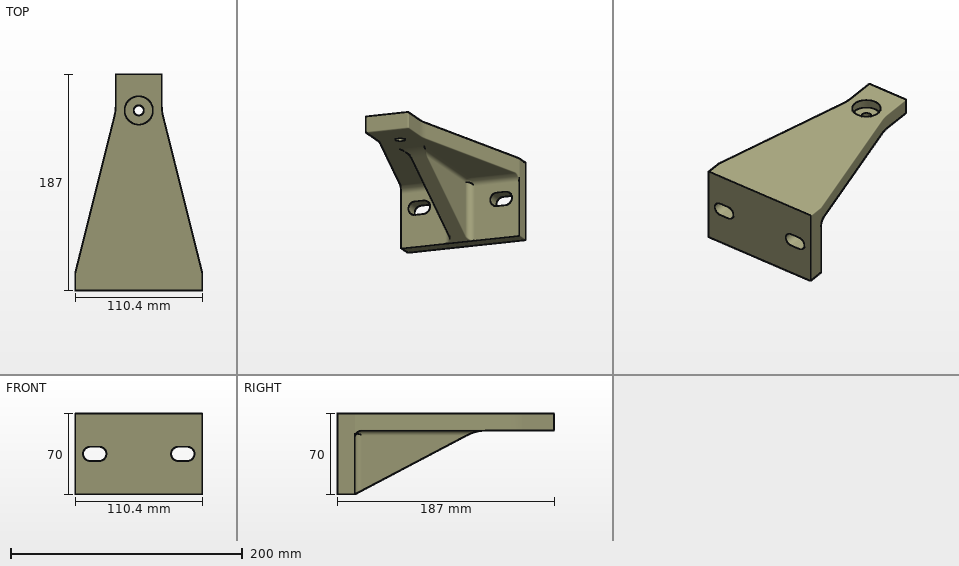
import cadquery as cq
import math

plate_width = 110.0
plate_height = 70.0
thickness = 15.0
total_length = 187.0

tip_width = 40.0
taper_end_y = 154.8
waist_radius = 38.0

rib_thickness = 15.0
rib_end_y = 119.5
rib_end_radius = 35.0
rib_overlap = 3.0

arm_plate_radius = 6.0
rib_plate_radius = 6.0
rib_arm_radius = 4.0
edge_radius = 1.0

bolt_y = 155.6
bolt_diameter = 8.5
counterbore_diameter = 24.5
counterbore_depth = 8.0
slot_length = 20.0
slot_height = 12.0
slot_x = 38.0
slot_z = -plate_height / 2

rib_slope = math.atan2(plate_height - thickness, rib_end_y - thickness)
rib_end_tangent = rib_end_radius * math.tan(rib_slope / 2)
rib_tip_y = rib_end_y + rib_end_tangent
slope_end_y = rib_end_y - rib_end_tangent * math.cos(rib_slope)
slope_end_z = -thickness - rib_end_tangent * math.sin(rib_slope)


def make_outline():
    """Plan shape of the bracket at full height, with rounded waists and tip corners."""
    half_plate = plate_width / 2
    half_tip = tip_width / 2
    outline = (
        cq.Workplane("XY")
        .polyline([
            (-half_plate, 0),
            (half_plate, 0),
            (half_plate, thickness),
            (half_tip, taper_end_y),
            (half_tip, total_length),
            (-half_tip, total_length),
            (-half_tip, taper_end_y),
            (-half_plate, thickness),
        ])
        .close()
        .extrude(-plate_height)
    )
    for side in (-1, 1):
        waist_point = (side * half_tip, taper_end_y, -plate_height / 2)
        waist = cq.selectors.NearestToPointSelector(waist_point)
        outline = outline.edges(waist).fillet(waist_radius)
    return outline.edges("|Z and >Y").fillet(edge_radius)


def make_body():
    """Plate and arm: an L-section with a blended inner corner, trimmed to the plan shape."""
    section = (
        cq.Workplane("YZ")
        .polyline([
            (0, 0),
            (total_length, 0),
            (total_length, -thickness),
            (thickness, -thickness),
            (thickness, -plate_height),
            (0, -plate_height),
        ])
        .close()
        .extrude(plate_width / 2, both=True)
    )
    inner_corner = cq.selectors.NearestToPointSelector((0, thickness, -thickness))
    section = section.edges(inner_corner).fillet(arm_plate_radius)
    return section.intersect(make_outline())


def round_body_edges(body):
    """Round the plate's short top and bottom edges and the arm's rim; tangent edges follow."""
    body = body.edges("<Z and |Y").fillet(edge_radius)
    body = body.edges("|X and >Y").edges("<Z").fillet(edge_radius)
    return body.faces(">Z").edges("not <Y").fillet(edge_radius)


def make_flared_section(plane, root, radius, far):
    """Rib cross-section from far to root; both sides widen at the root by a concave radius."""
    half = rib_thickness / 2
    toward_far = math.copysign(1, far - root)
    mid_offset = radius * (1 - math.sqrt(0.5))
    sunk = root - toward_far * rib_overlap
    return (
        cq.Workplane(plane)
        .moveTo(0, far)
        .lineTo(half, far)
        .lineTo(half, root + toward_far * radius)
        .threePointArc(
            (half + mid_offset, root + toward_far * mid_offset),
            (half + radius, root),
        )
        .lineTo(half + radius, sunk)
        .lineTo(0, sunk)
        .mirrorY()
    )


def make_rib_profile():
    """Side shape of the rib: a slope that runs out tangentially into the arm's underside."""
    arc_mid_y = rib_tip_y - rib_end_radius * math.sin(rib_slope / 2)
    arc_mid_z = -thickness - rib_end_radius * (1 - math.cos(rib_slope / 2))
    return (
        cq.Workplane("YZ")
        .moveTo(thickness - rib_overlap, -plate_height)
        .lineTo(thickness, -plate_height)
        .lineTo(slope_end_y, slope_end_z)
        .threePointArc((arc_mid_y, arc_mid_z), (rib_tip_y, -thickness))
        .lineTo(rib_tip_y, rib_overlap - thickness)
        .lineTo(thickness - rib_overlap, rib_overlap - thickness)
        .close()
        .extrude(plate_width / 2, both=True)
    )


def make_rib_corner():
    """Rib-to-arm blend turned a quarter circle to follow the arm-to-plate blend."""
    center = thickness + arm_plate_radius
    section = make_flared_section("XZ", -thickness, rib_arm_radius, -center)
    corner = section.revolve(90, (0, -center, 0), (1, -center, 0))
    return corner.translate((0, center, 0))


def make_rib():
    """Rib with concave blends along the arm and the plate and rounded edges on its slope."""
    along_arm = make_flared_section("XZ", -thickness, rib_arm_radius, -plate_height)
    along_plate = make_flared_section("XY", thickness, rib_plate_radius, rib_tip_y)
    rib = along_arm.extrude(-rib_tip_y).union(along_plate.extrude(-plate_height))
    rib = rib.union(make_rib_corner()).intersect(make_rib_profile())
    for side in (-1, 1):
        slope_edge = cq.selectors.NearestToPointSelector((
            side * rib_thickness / 2,
            (thickness + rib_plate_radius + slope_end_y) / 2,
            (slope_end_z - plate_height) / 2,
        ))
        rib = rib.edges(slope_edge).fillet(edge_radius)
    return rib


def make_bolt_hole():
    """Cutter for the counterbored hole in the arm."""
    hole = cq.Workplane("XY").center(0, bolt_y).circle(bolt_diameter / 2).extrude(-thickness)
    counterbore = (
        cq.Workplane("XY")
        .center(0, bolt_y)
        .circle(counterbore_diameter / 2)
        .extrude(-counterbore_depth)
    )
    return hole.union(counterbore)


def make_slots():
    """Cutter for the two horizontal slots through the plate."""
    return (
        cq.Workplane("XZ")
        .pushPoints([(-slot_x, slot_z), (slot_x, slot_z)])
        .slot2D(slot_length, slot_height)
        .extrude(-thickness)
    )


body = round_body_edges(make_body())
result = body.union(make_rib()).cut(make_bolt_hole()).cut(make_slots())